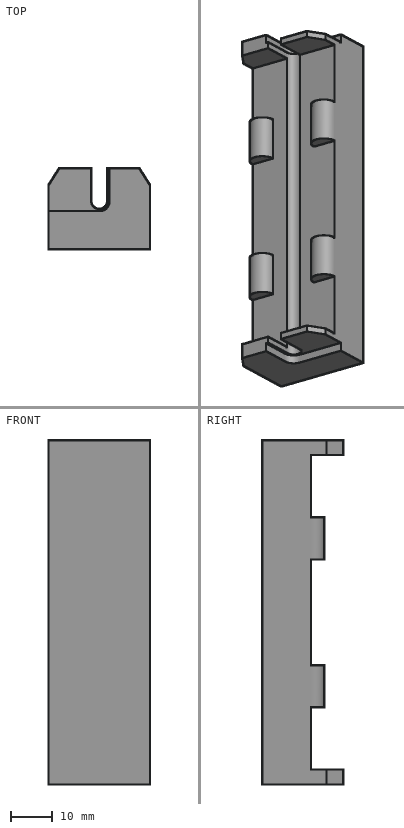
import cadquery as cq

width = 24.25
depth = 19.4
length = 82.2
body_depth = 11.7

wall_thickness = 3.6
corner_chamfer_x = 2.55
corner_chamfer_y = 4.0

groove_radius = 1.9
groove_center_y = 11.6

recess_depth = 2.05
recess_radius = 2.5

pad_radius = 3.05
pad_side_height = 0.2
pad_length = 10.1
pad_end_offset = 18.4

center_x = width / 2


def make_body():
    return cq.Workplane("XY").box(width, body_depth, length, centered=False)


def make_end_wall(z_start):
    blank = (
        cq.Workplane("XY")
        .workplane(offset=z_start)
        .moveTo(0, 0)
        .lineTo(width, 0)
        .lineTo(width, depth - corner_chamfer_y)
        .lineTo(width - corner_chamfer_x, depth)
        .lineTo(corner_chamfer_x, depth)
        .lineTo(0, depth - corner_chamfer_y)
        .close()
    )
    return blank.extrude(wall_thickness)


def make_pad(x_center, z_start):
    return (
        cq.Workplane("XY")
        .workplane(offset=z_start)
        .moveTo(x_center - pad_radius, body_depth)
        .lineTo(x_center - pad_radius, body_depth + pad_side_height)
        .threePointArc(
            (x_center, body_depth + pad_side_height + pad_radius),
            (x_center + pad_radius, body_depth + pad_side_height),
        )
        .lineTo(x_center + pad_radius, body_depth)
        .close()
        .extrude(pad_length)
    )


def make_groove():
    return (
        cq.Workplane("XY")
        .moveTo(center_x - groove_radius, depth)
        .lineTo(center_x - groove_radius, groove_center_y)
        .threePointArc(
            (center_x, groove_center_y - groove_radius),
            (center_x + groove_radius, groove_center_y),
        )
        .lineTo(center_x + groove_radius, depth)
        .close()
        .extrude(length)
    )


def make_recess(z_start):
    outline = (
        cq.Workplane("XY")
        .workplane(offset=z_start)
        .moveTo(0, depth)
        .lineTo(0, groove_center_y - recess_radius)
        .lineTo(center_x, groove_center_y - recess_radius)
        .radiusArc((center_x + recess_radius, groove_center_y), -recess_radius)
        .lineTo(center_x + recess_radius, depth)
        .close()
    )
    return outline.extrude(recess_depth)


result = make_body()

for wall_z in (0, length - wall_thickness):
    result = result.union(make_end_wall(wall_z))

for pad_z in (pad_end_offset, length - pad_end_offset - pad_length):
    for pad_x in (pad_radius, width - pad_radius):
        result = result.union(make_pad(pad_x, pad_z))

result = result.cut(make_groove())

for recess_z in (0, length - recess_depth):
    result = result.cut(make_recess(recess_z))